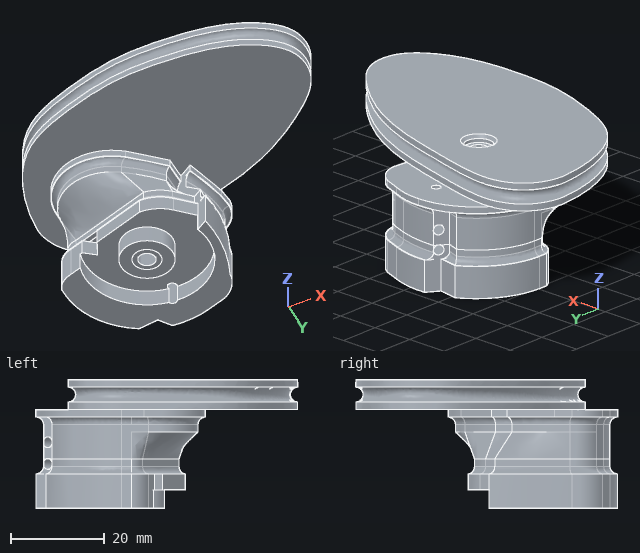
import cadquery as cq
import math


lip_thickness = 1.6
groove_radius = 1.6
cam_thickness = 2 * lip_thickness + 2 * groove_radius
flare_radius = 1.6
flare_sweep = math.radians(84)
flare_sections = 6
straight_wall = 3.2
ramp_height = 5.72
total_height = 27.52
pocket_depth = 3.95

flange_bottom = -cam_thickness - lip_thickness
ramp_top = flange_bottom - straight_wall
split_level = ramp_top - ramp_height
foot_top = split_level - straight_wall
stack_bottom = -total_height
pocket_roof = stack_bottom + pocket_depth
notch_height = foot_top - pocket_roof

bore_diameter = 3.9
sleeve_diameter = 6.4
sleeve_recess = 1.7
countersink_diameter = 7.8
countersink_depth = 0.8
hub_radius = 6.0
pocket_radius = 14.5

cord_hole_diameter = 2.1
cord_hole_center = (-0.58, 14.05)
peg_hole_diameter = 2.3
peg_hole_depth = 5.0
peg_hole_y = 18.95
peg_hole_levels = (-13.4, -18.0)

notch_left = 3.4
notch_apex = 5.15
notch_right = 8.0
notch_depth = 2.9

cam_outline = [
    (-27.13, 2.6),
    (-24.75, -9.3),
    (-17.64, -21.43),
    (-4.72, -29.09),
    (9.55, -33.55),
    (20.0, -34.43),
    (30.0, -33.97),
    (39.73, -31.14),
    (46.45, -25.0),
    (46.98, -18.5),
    (39.36, -7.51),
    (28.8, 0.7),
    (16.0, 7.0),
    (0.0, 11.75),
    (-11.9, 14.4),
    (-17.5, 14.45),
    (-23.9, 11.4),
]

track_end_outer = (16.55, -5.95)
track_end_slope = -0.71
peg_face_foot = (-6.1, 18.5)
peg_face_top = (-4.0, 21.45)
left_side = -20.6
left_neck = -19.15
front_wall_start = (-16.65, -2.6)
front_wall_end = (3.1, -10.4)


def on_track_end(x):
    """Point at the given X on the slanting plane that ends the cable track."""
    return (x, track_end_outer[1] + track_end_slope * (x - track_end_outer[0]))


def on_peg_face(y):
    """Point at the given Y on the flat face that carries the peg holes."""
    run = (peg_face_top[0] - peg_face_foot[0]) / (peg_face_top[1] - peg_face_foot[1])
    return (peg_face_foot[0] + run * (y - peg_face_foot[1]), y)


crown_end = [(12.6, 15.7), (14.1, 11.7)]

flange_outline = [
    [(left_side, -1.6)],
    [(left_side, 3.2)],
    [(-15.24, 16.18), (-2.3, 21.54)],
    [(2.0, 21.1), (5.5, 19.9)],
    [(9.6, 18.3)],
    crown_end,
    [(13.8, 8.0)],
    [on_track_end(11.2)],
    [on_track_end(7.9)],
    [(7.9, -5.4)],
    [(0.55, -12.0)],
    [(-7.5, -14.7), (left_side, -1.6)],
]

rim_back = [
    [(left_side, 1.1)],
    [(left_side, 3.2)],
    [(-17.42, 13.4), (-10.9, 19.35)],
    [peg_face_foot],
    [peg_face_top],
    [(2.4, 20.9), (5.5, 19.9)],
    [(9.6, 18.3)],
    crown_end,
]

upper_rim = [
    *rim_back,
    [(13.4, 5.0), on_track_end(11.2)],
    [on_track_end(7.9)],
    [(7.9, -5.4)],
    [(4.3, -8.8), (0.55, -12.0)],
    [(-13.1, -13.45), (left_side, -2.2)],
    [(left_side, 1.1)],
]

foot_outline = [
    *rim_back,
    [(16.4, 3.5), track_end_outer],
    [on_track_end(14.0)],
    [(10.0, -7.9)],
    [(7.0, -9.8), front_wall_end],
    [front_wall_start],
    [(-19.1, -1.2), (left_side, 1.1)],
]

neck_back = [
    [(left_neck, 1.1)],
    [(left_neck, 3.2)],
    [(-16.2, 12.66), (-10.1, 18.05)],
    [on_peg_face(17.0)],
    [on_peg_face(19.85)],
]

upper_neck = [
    *neck_back,
    [(1.7, 19.3), (4.8, 18.5)],
    [(8.7, 17.0)],
    [(11.3, 14.8), (12.65, 11.3)],
    [(12.0, 5.0), on_track_end(9.7)],
    [on_track_end(6.7)],
    [(6.7, -4.6)],
    [(3.0, -8.2), (-0.85, -11.1)],
    [(-12.3, -12.1), (left_neck, -2.6)],
    [(left_neck, 1.1)],
]

lower_neck = [
    *neck_back,
    [(1.7, 19.3), (4.8, 18.5)],
    [(8.7, 17.0)],
    [(11.3, 14.8), (12.8, 11.3)],
    [(14.0, 3.2), on_track_end(14.85)],
    [on_track_end(12.75)],
    [(9.2, -6.7)],
    [(6.5, -8.4), (3.5, -9.1)],
    [(-16.1, -1.3)],
    [(-18.2, -0.3), (left_neck, 1.1)],
]


def trace(outline, level):
    """Closed wire of a module outline at the given height."""
    wire = cq.Workplane("XY", origin=(0, 0, level)).moveTo(*outline[0][0])
    for step in outline[1:]:
        if len(step) == 1:
            wire = wire.lineTo(*step[0])
        else:
            wire = wire.threePointArc(*step)
    return wire.close()


def prism(outline, bottom, top):
    """Module outline extruded between two heights."""
    return trace(outline, bottom).extrude(top - bottom)


def between(start, end, share):
    """Outline part of the way from one outline to another that has the same steps."""
    return [
        [
            (x0 + share * (x1 - x0), y0 + share * (y1 - y0))
            for (x0, y0), (x1, y1) in zip(start_step, end_step)
        ]
        for start_step, end_step in zip(start, end)
    ]


def flare(neck, rim, rim_level, direction):
    """Quarter-round flare from a neck to a rim; direction is +1 for a neck above its rim."""
    wires = []
    for section in range(flare_sections):
        angle = flare_sweep * section / (flare_sections - 1)
        height = flare_radius * (1 - math.sin(angle))
        outline = between(neck, rim, 1 - math.cos(angle))
        wires.append(trace(outline, rim_level + direction * height).val())
    return cq.Workplane(cq.Solid.makeLoft(wires))


def cylinder(diameter, bottom, top, center=(0, 0)):
    """Upright round bar between two heights."""
    return cq.Workplane("XY", origin=(*center, bottom)).circle(diameter / 2).extrude(top - bottom)


def trace_cam(level):
    """Closed curve of the cam rim at the given height."""
    return cq.Workplane("XY", origin=(0, 0, level)).spline(cam_outline, periodic=True).close()


def make_cam():
    """Egg-shaped cable cam with a half-round groove around its rim."""
    body = trace_cam(-cam_thickness).extrude(cam_thickness)
    rim = trace_cam(-cam_thickness / 2)
    start = rim.val().startPoint()
    direction = rim.val().tangentAt(0)
    profile = cq.Workplane(cq.Plane(origin=start, normal=direction)).circle(groove_radius)
    body = body.cut(profile.sweep(rim))
    body = body.cut(cylinder(sleeve_diameter, -cam_thickness, 0))
    countersink = cq.Solid.makeCone(
        sleeve_diameter / 2,
        countersink_diameter / 2,
        countersink_depth,
        cq.Vector(0, 0, -countersink_depth),
    )
    return body.cut(cq.Workplane(countersink))


def module_holes():
    """Sleeve bore, cord hole and the peg holes drilled square into the peg face."""
    holes = cylinder(sleeve_diameter, stack_bottom, 0)
    holes = holes.union(cylinder(cord_hole_diameter, stack_bottom, 0, cord_hole_center))
    along = cq.Vector(peg_face_top[0] - peg_face_foot[0], peg_face_top[1] - peg_face_foot[1], 0)
    inward = cq.Vector(along.y, -along.x, 0).normalized()
    x, y = on_peg_face(peg_hole_y)
    for level in peg_hole_levels:
        peg = cq.Solid.makeCylinder(peg_hole_diameter / 2, peg_hole_depth, cq.Vector(x, y, level), inward)
        holes = holes.union(cq.Workplane(peg))
    return holes


def make_upper_module():
    """Top flange and the ramp that leads the cable from the high track to the low one."""
    flange = prism(flange_outline, flange_bottom, -cam_thickness)
    wall = prism(upper_neck, ramp_top, flange_bottom)
    lower_wire = trace(lower_neck, split_level).val()
    upper_wire = trace(upper_neck, ramp_top).val()
    ramp = cq.Workplane(cq.Solid.makeLoft([lower_wire, upper_wire], True))
    throat = flare(upper_neck, upper_rim, flange_bottom, -1)
    return flange.union(wall).union(throat).union(ramp).cut(module_holes())


def stop_notch():
    """Three-cornered notch in the straight front wall; its positions run along the wall."""
    along = cq.Vector(front_wall_end[0] - front_wall_start[0], front_wall_end[1] - front_wall_start[1], 0)
    wall = cq.Plane(origin=(*front_wall_start, pocket_roof), xDir=along, normal=(0, 0, 1))
    return (
        cq.Workplane(wall)
        .moveTo(notch_left, 0)
        .lineTo(notch_apex, notch_depth)
        .lineTo(notch_right, 0)
        .close()
        .extrude(notch_height)
    )


def make_lower_module():
    """Foot with its low track, hub pocket and stop notch."""
    foot = prism(foot_outline, stack_bottom, foot_top)
    foot = foot.union(prism(lower_neck, foot_top, split_level))
    foot = foot.union(flare(lower_neck, foot_outline, foot_top, 1))
    foot = foot.cut(cylinder(2 * pocket_radius, stack_bottom, pocket_roof))
    return foot.cut(stop_notch()).cut(module_holes())


def make_hub():
    """Round hub in the middle of the pocket."""
    hub = cylinder(2 * hub_radius, stack_bottom, pocket_roof)
    return hub.cut(cylinder(sleeve_diameter, stack_bottom, pocket_roof))


def make_sleeve():
    """Pivot sleeve through the whole stack, sunk below the top of the cam."""
    sleeve = cylinder(sleeve_diameter, stack_bottom, -sleeve_recess)
    return sleeve.cut(cylinder(bore_diameter, stack_bottom, -sleeve_recess))


cam = make_cam()
upper_module = make_upper_module()
lower_module = make_lower_module()
hub = make_hub()
sleeve = make_sleeve()

result = cq.Compound.makeCompound(
    [cam.val(), upper_module.val(), lower_module.val(), hub.val(), sleeve.val()]
)